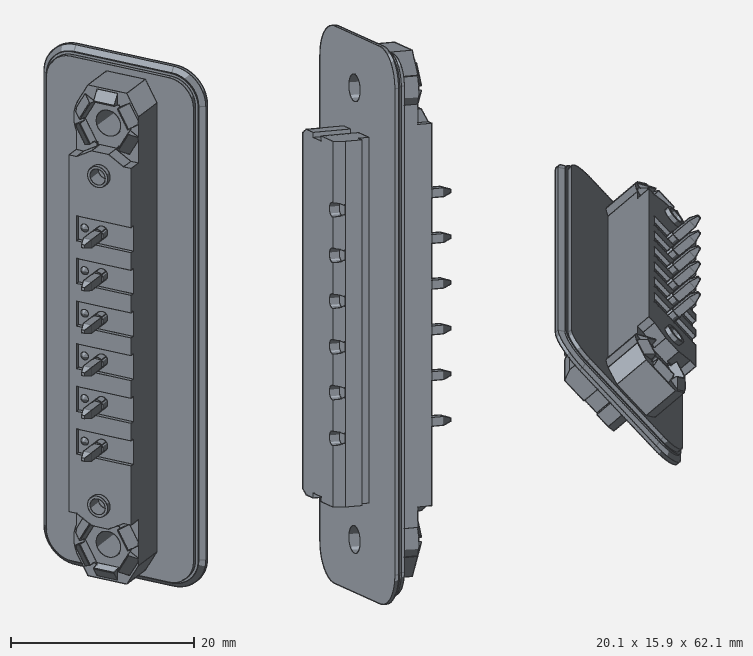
import cadquery as cq
import math

FLANGE_WIDTH = 20.05
FLANGE_LENGTH = 62.1
FLANGE_CORNER_RADIUS = 4.0
FLANGE_THICKNESS = 1.55
RIM_THICKNESS = 0.45
BEVEL_INSET = 0.6
BEVEL_HEIGHT = 0.45
LEDGE_HEIGHT = 1.05
PAD_INSET = 0.95

BODY_CENTER_X = 0.75
BODY_WIDTH = 7.7
BODY_HEIGHT = 5.95
BODY_SHOULDER_Z = 21.3
BODY_TIP_HALF_WIDTH = 1.05
BODY_SLOPE_HALF_WIDTH = 2.9
BODY_SLOPE_ANGLE = 30.0

LOBE_CENTER_Z = 25.15
LOBE_APOTHEM = 4.15
LOBE_HEIGHT = 4.3
SCREW_HOLE_DIAMETER = 3.05

TOOTH_WIDTH = 2.55
TOOTH_HEIGHT = 0.8
TOOTH_OUTER_APOTHEM = 3.9
TOOTH_RIDGE_APOTHEM = 2.8

NUT_POCKET_APOTHEM = 2.5
NUT_POCKET_TOP_APOTHEM = 2.7
NUT_POCKET_DEPTH = 0.25

BOSS_CENTER_Z = 19.7
BOSS_DIAMETER = 2.5
BOSS_BORE_DIAMETER = 1.85
BOSS_HEIGHT = 0.55
BOSS_BORE_DEPTH = 1.85

CONTACT_COUNT = 6
CONTACT_PITCH = 5.1
RECESS_WIDTH = 3.0
RECESS_LEFT_X = -2.2
RECESS_DEPTH = 0.5
COLLAR_DIAMETER = 1.35
COLLAR_HEIGHT = 0.55
PIN_SIDE = 1.0
PIN_TIP_SIDE = 0.4
PIN_HEIGHT = 3.9
PIN_TIP_LENGTH = 1.0
STUD_X = -1.4
STUD_DIAMETER = 0.95
STUD_HEIGHT = 0.3

HOUSING_HEIGHT = 4.5
HOUSING_HALF_LENGTH = 20.4
LIP_OVERHANG = 0.95
LIP_BASE_HEIGHT = 1.25
LIP_CHAMFER_HEIGHT = 1.25
LIP_CHAMFER_WIDTH = 0.55
KEY_HOLE_X = -3.35
KEY_HOLE_DIAMETER = 1.6
KEY_HOLE_DEPTH = 1.2
END_GROOVE_WIDTH = 2 * BODY_TIP_HALF_WIDTH
END_GROOVE_DEPTH = 0.55
END_SLOPE_WIDTH = 0.95

BODY_LEFT_X = BODY_CENTER_X - BODY_WIDTH / 2
BODY_RIGHT_X = BODY_CENTER_X + BODY_WIDTH / 2
BODY_FRONT_Y = -FLANGE_THICKNESS - BODY_HEIGHT
LOBE_FRONT_Y = -FLANGE_THICKNESS - LOBE_HEIGHT
SLOPE = math.tan(math.radians(BODY_SLOPE_ANGLE))
BODY_TIP_Z = BODY_SHOULDER_Z + (BODY_SLOPE_HALF_WIDTH - BODY_TIP_HALF_WIDTH) * SLOPE
CONTACT_ZS = [(i - (CONTACT_COUNT - 1) / 2) * CONTACT_PITCH for i in range(CONTACT_COUNT)]


def front_plane(y, x=0.0, z=0.0):
    """Sketch plane facing -Y: local x is X, local y is Z, extrusion goes toward -Y."""
    return cq.Workplane("XZ", origin=(x, y, z))


def both_ends(upper):
    """Join a feature at the +Z end with its mirror image at the -Z end."""
    return upper.union(upper.mirror("XY"))


def rounded_slab(inset, height):
    """Flange outline drawn in by an inset, raised from Y = 0 toward the front."""
    return (
        front_plane(0)
        .sketch()
        .rect(FLANGE_WIDTH - 2 * inset, FLANGE_LENGTH - 2 * inset)
        .vertices()
        .fillet(FLANGE_CORNER_RADIUS - inset)
        .finalize()
        .extrude(height)
    )


def make_flange():
    """Rim with a bevelled front edge, a narrow ledge above it and a raised pad."""
    rim = rounded_slab(0, RIM_THICKNESS + BEVEL_HEIGHT)
    rim = rim.faces("<Y").chamfer(BEVEL_HEIGHT, BEVEL_INSET)
    ledge = rounded_slab(BEVEL_INSET, LEDGE_HEIGHT)
    pad = rounded_slab(PAD_INSET, FLANGE_THICKNESS)
    return rim.union(ledge).union(pad)


def make_body():
    """Long block whose front ends in a flat tip with two sloping shoulders."""
    half_width = BODY_WIDTH / 2
    upper = (
        front_plane(-FLANGE_THICKNESS, x=BODY_CENTER_X)
        .moveTo(-half_width, 0)
        .lineTo(-half_width, BODY_SHOULDER_Z)
        .lineTo(-BODY_SLOPE_HALF_WIDTH, BODY_SHOULDER_Z)
        .lineTo(-BODY_TIP_HALF_WIDTH, BODY_TIP_Z)
        .lineTo(BODY_TIP_HALF_WIDTH, BODY_TIP_Z)
        .lineTo(BODY_SLOPE_HALF_WIDTH, BODY_SHOULDER_Z)
        .lineTo(half_width, BODY_SHOULDER_Z)
        .lineTo(half_width, 0)
        .close()
        .extrude(BODY_HEIGHT)
    )
    return both_ends(upper)


def make_lobe():
    """Hexagon trimmed to the body width, rounded on its -X side and joined to the body."""
    base = front_plane(-FLANGE_THICKNESS, x=BODY_CENTER_X, z=LOBE_CENTER_Z)
    hexagon_diameter = 2 * LOBE_APOTHEM / math.cos(math.pi / 6)
    hexagon = base.polygon(6, hexagon_diameter).extrude(LOBE_HEIGHT)
    trim = base.rect(BODY_WIDTH, 3 * LOBE_APOTHEM).extrude(LOBE_HEIGHT)
    rounding = (
        base.moveTo(0, LOBE_APOTHEM)
        .threePointArc((-LOBE_APOTHEM, 0), (0, -LOBE_APOTHEM))
        .close()
        .extrude(LOBE_HEIGHT)
    )
    neck_length = LOBE_CENTER_Z - BODY_SHOULDER_Z
    neck = base.center(0, -neck_length / 2).rect(BODY_WIDTH, neck_length).extrude(LOBE_HEIGHT)
    return hexagon.intersect(trim).union(rounding).union(neck)


def make_teeth():
    """Wedge teeth around the screw hole; the side next to the body has none."""
    half_width = TOOTH_WIDTH / 2
    tooth = (
        cq.Workplane("YZ", origin=(BODY_CENTER_X - half_width, LOBE_FRONT_Y, LOBE_CENTER_Z))
        .moveTo(0, NUT_POCKET_APOTHEM)
        .lineTo(-TOOTH_HEIGHT, NUT_POCKET_APOTHEM)
        .lineTo(-TOOTH_HEIGHT, TOOTH_RIDGE_APOTHEM)
        .lineTo(0, TOOTH_OUTER_APOTHEM)
        .close()
        .extrude(TOOTH_WIDTH)
    )
    axis_start = (BODY_CENTER_X, 0, LOBE_CENTER_Z)
    axis_end = (BODY_CENTER_X, 1, LOBE_CENTER_Z)
    teeth = cq.Workplane()
    for angle in (-120, -60, 0, 60, 120):
        teeth = teeth.union(tooth.rotate(axis_start, axis_end, angle))
    trim = cq.Workplane("XY").box(BODY_WIDTH, FLANGE_LENGTH, 2 * FLANGE_LENGTH)
    return teeth.intersect(trim.translate((BODY_CENTER_X, 0, 0)))


def make_nut_pocket():
    """Tapered hexagon bounded by the teeth, with its floor running on to the tip of the body."""
    corner_factor = 2 / math.cos(math.pi / 6)
    pocket_floor = front_plane(LOBE_FRONT_Y + NUT_POCKET_DEPTH, x=BODY_CENTER_X, z=LOBE_CENTER_Z)
    pocket = (
        pocket_floor.polygon(6, corner_factor * NUT_POCKET_APOTHEM)
        .workplane(offset=NUT_POCKET_DEPTH + TOOTH_HEIGHT)
        .polygon(6, corner_factor * NUT_POCKET_TOP_APOTHEM)
        .loft(ruled=True)
    )
    run_length = LOBE_CENTER_Z - BODY_TIP_Z
    run = pocket_floor.center(0, -run_length / 2).rect(TOOTH_WIDTH, run_length)
    return pocket.union(run.extrude(NUT_POCKET_DEPTH))


def make_boss():
    body_front = front_plane(BODY_FRONT_Y, x=BODY_CENTER_X, z=BOSS_CENTER_Z)
    return body_front.circle(BOSS_DIAMETER / 2).extrude(BOSS_HEIGHT)


def make_boss_bore():
    boss_front = front_plane(BODY_FRONT_Y - BOSS_HEIGHT, x=BODY_CENTER_X, z=BOSS_CENTER_Z)
    return boss_front.circle(BOSS_BORE_DIAMETER / 2).extrude(-BOSS_BORE_DEPTH)


def make_screw_hole():
    hole = front_plane(0, x=BODY_CENTER_X, z=LOBE_CENTER_Z).circle(SCREW_HOLE_DIAMETER / 2)
    return hole.extrude(BODY_HEIGHT + FLANGE_THICKNESS)


def make_contact_recess(z):
    width = BODY_RIGHT_X - RECESS_LEFT_X
    recess = front_plane(BODY_FRONT_Y, x=RECESS_LEFT_X + width / 2, z=z).rect(width, RECESS_WIDTH)
    return recess.extrude(-RECESS_DEPTH)


def make_contact(z):
    """Collar and square pin with a tapered tip, next to a small pointed stud."""
    floor_y = BODY_FRONT_Y + RECESS_DEPTH
    shank_height = PIN_HEIGHT - PIN_TIP_LENGTH
    collar = front_plane(floor_y, x=BODY_CENTER_X, z=z).circle(COLLAR_DIAMETER / 2)
    shank = front_plane(floor_y, x=BODY_CENTER_X, z=z).rect(PIN_SIDE, PIN_SIDE)
    tip = (
        front_plane(BODY_FRONT_Y - shank_height, x=BODY_CENTER_X, z=z)
        .rect(PIN_SIDE, PIN_SIDE)
        .workplane(offset=PIN_TIP_LENGTH)
        .rect(PIN_TIP_SIDE, PIN_TIP_SIDE)
        .loft(ruled=True)
    )
    stud = cq.Solid.makeCone(
        STUD_DIAMETER / 2, 0, STUD_HEIGHT, pnt=cq.Vector(STUD_X, floor_y, z), dir=cq.Vector(0, -1, 0)
    )
    return (
        collar.extrude(RECESS_DEPTH + COLLAR_HEIGHT)
        .union(shank.extrude(RECESS_DEPTH + shank_height))
        .union(tip)
        .union(cq.Workplane(stud))
    )


def make_housing():
    """Block with a chamfered lip, grooved and bevelled ends and a keying hole behind each contact."""
    lip_x = BODY_LEFT_X - LIP_OVERHANG
    chamfer_start = HOUSING_HEIGHT - LIP_CHAMFER_HEIGHT
    housing = (
        cq.Workplane("XY", origin=(0, 0, -HOUSING_HALF_LENGTH))
        .moveTo(BODY_RIGHT_X, 0)
        .lineTo(BODY_LEFT_X, 0)
        .lineTo(BODY_LEFT_X, LIP_BASE_HEIGHT)
        .lineTo(lip_x, LIP_BASE_HEIGHT)
        .lineTo(lip_x, chamfer_start)
        .lineTo(lip_x + LIP_CHAMFER_WIDTH, HOUSING_HEIGHT)
        .lineTo(BODY_RIGHT_X, HOUSING_HEIGHT)
        .close()
        .extrude(2 * HOUSING_HALF_LENGTH)
    )
    housing = housing.edges("|Y and >X").chamfer(END_SLOPE_WIDTH * SLOPE, END_SLOPE_WIDTH)
    groove = cq.Workplane("XY").box(END_GROOVE_WIDTH, 2 * HOUSING_HEIGHT, 2 * END_GROOVE_DEPTH)
    groove = groove.translate((BODY_CENTER_X, HOUSING_HEIGHT, HOUSING_HALF_LENGTH))
    housing = housing.cut(both_ends(groove))
    for z in CONTACT_ZS:
        key_hole = front_plane(HOUSING_HEIGHT, x=KEY_HOLE_X, z=z).circle(KEY_HOLE_DIAMETER / 2)
        housing = housing.cut(key_hole.extrude(KEY_HOLE_DEPTH))
    return housing


lobe = make_lobe().union(make_teeth()).cut(make_nut_pocket())
result = (
    make_flange()
    .union(make_body())
    .union(both_ends(lobe))
    .union(both_ends(make_boss()))
    .union(make_housing())
    .cut(both_ends(make_boss_bore()))
    .cut(both_ends(make_screw_hole()))
)
for contact_z in CONTACT_ZS:
    result = result.cut(make_contact_recess(contact_z)).union(make_contact(contact_z))